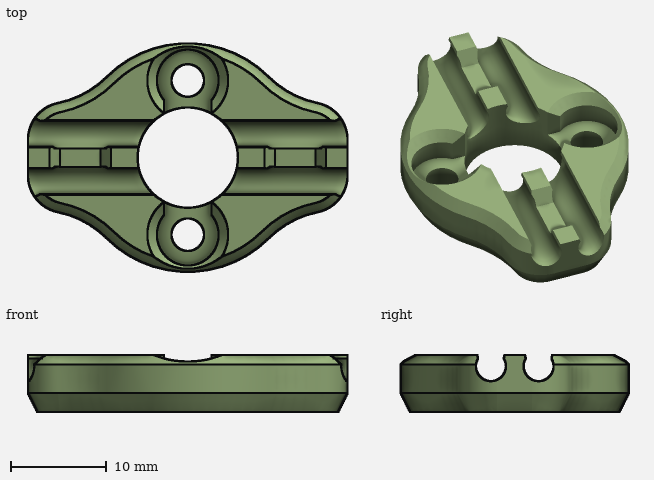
import cadquery as cq
import math

length = 33.5
thickness = 6.0
lobe_radius = 11.975
waist_radius = 10.0
corner_radius = 4.0
top_chamfer = 1.0
bottom_chamfer_width = 1.0
bottom_chamfer_height = 2.0

bore_diameter = 10.5
screw_hole_diameter = 3.4
screw_offset = 8.07
seat_diameter = 6.45
seat_depth = 3.25
seat_chamfer = 1.0
seat_slot_width = 4.95

groove_radius = 1.558
groove_offset = 2.495
groove_axis_depth = 1.17
groove_neck_depth = 0.37
groove_mouth_width = 2.85

notch_centre = 11.25
notch_top_length = 6.43
notch_depth = 1.45
notch_end_run = 1.1

seat_floor = thickness - seat_depth


def quarter_points():
    """Tangent points and arc midpoints of the outline in the +X, +Y quarter."""
    diagonal = math.radians(45)
    waist_centre = (lobe_radius + waist_radius) * math.cos(diagonal)
    corner_x = length / 2 - corner_radius
    lean = math.asin((waist_centre - corner_x) / (waist_radius + corner_radius))
    corner_y = waist_centre - (waist_radius + corner_radius) * math.cos(lean)

    def on_corner(angle):
        return (corner_x + corner_radius * math.cos(angle), corner_y + corner_radius * math.sin(angle))

    def on_waist(angle):
        return (waist_centre + waist_radius * math.cos(angle), waist_centre + waist_radius * math.sin(angle))

    corner_end = math.pi / 2 - lean
    waist_start = corner_end + math.pi
    waist_end = diagonal + math.pi
    return [
        on_corner(0),
        on_corner(corner_end / 2),
        on_corner(corner_end),
        on_waist((waist_start + waist_end) / 2),
        on_waist(waist_end),
    ]


def make_body():
    right = quarter_points()
    left = [(-x, y) for x, y in reversed(right)]
    upper = right + [(0, lobe_radius)] + left
    lower = [(-x, -y) for x, y in upper]
    outline = cq.Workplane("XY").moveTo(*upper[0])
    for half, next_start in ((upper, lower[0]), (lower, None)):
        for middle, end in zip(half[1::2], half[2::2]):
            outline = outline.threePointArc(middle, end)
        outline = outline.lineTo(*next_start) if next_start else outline.close()
    body = outline.extrude(thickness)
    body = body.faces(">Z").chamfer(top_chamfer)
    return body.faces("<Z").chamfer(bottom_chamfer_height, bottom_chamfer_width)


def cylinder(diameter, y, bottom):
    return cq.Workplane("XY", origin=(0, y, bottom)).circle(diameter / 2).extrude(thickness - bottom)


def screw_seat(side):
    """Through hole, counterbore, countersunk rim and slot into the bore."""
    y = side * screw_offset
    rim = (
        cq.Workplane("XY", origin=(0, y, thickness))
        .circle(seat_diameter / 2 + seat_chamfer)
        .extrude(-seat_chamfer, taper=45)
    )
    slot = (
        cq.Workplane("XY", origin=(0, y / 2, seat_floor))
        .rect(seat_slot_width, screw_offset)
        .extrude(seat_depth)
    )
    hole = cylinder(screw_hole_diameter, y, 0)
    return hole.union(cylinder(seat_diameter, y, seat_floor)).union(rim).union(slot)


def cable_groove(side):
    """Round channel whose narrowed neck flares out to the top face."""
    y = side * groove_offset
    axis_z = thickness - groove_axis_depth
    neck_z = thickness - groove_neck_depth
    neck_half = math.sqrt(groove_radius**2 - (neck_z - axis_z) ** 2)
    mouth_half = groove_mouth_width / 2
    return (
        cq.Workplane("YZ", origin=(-length / 2, 0, 0))
        .moveTo(y - mouth_half, thickness)
        .lineTo(y - neck_half, neck_z)
        .threePointArc((y, axis_z - groove_radius), (y + neck_half, neck_z))
        .lineTo(y + mouth_half, thickness)
        .close()
        .extrude(length)
    )


def rib_notch(side):
    """Notch with sloping ends, reaching from one groove axis to the other."""
    x = side * notch_centre
    top_half = notch_top_length / 2
    floor_half = top_half - notch_end_run
    floor_z = thickness - notch_depth
    return (
        cq.Workplane("XZ")
        .polyline([
            (x - top_half, thickness),
            (x - floor_half, floor_z),
            (x + floor_half, floor_z),
            (x + top_half, thickness),
        ])
        .close()
        .extrude(groove_offset, both=True)
    )


def square_rib():
    """Full-length bar that keeps the rib ends square across the top chamfer."""
    return (
        cq.Workplane("XY", origin=(0, 0, thickness - top_chamfer))
        .rect(length, groove_offset)
        .extrude(top_chamfer)
    )


result = make_body().union(square_rib()).cut(cylinder(bore_diameter, 0, 0))
for side in (-1, 1):
    result = result.cut(screw_seat(side))
    result = result.cut(cable_groove(side))
    result = result.cut(rib_notch(side))